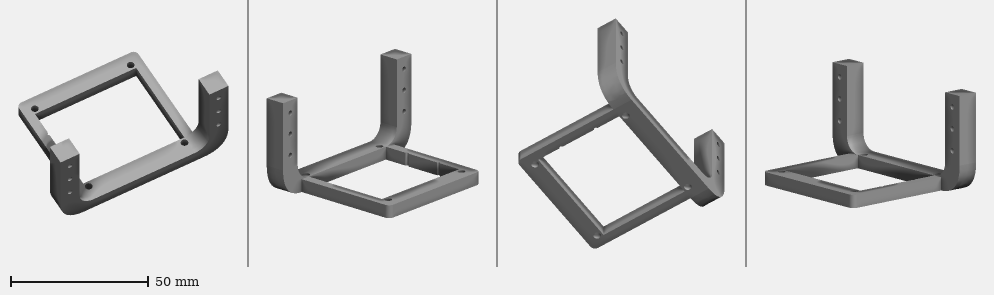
import cadquery as cq

length = 50.8
width = 70.2
height = 37.2

frame_width = 49.85
frame_thickness = 5.0
opening_width = 42.25
front_rail = 7.0
corner_radius = 2.0

bracket_depth = 8.0
leg_thickness = 8.0
outer_bend_height = 11.15
outer_bend_width = 10.2
outer_bend_fullness = 0.65
bracket_start = length - bracket_depth
leg_inner_y = width / 2 - leg_thickness
inner_bend_radius = leg_inner_y - opening_width / 2

frame_hole_diameter = 2.8
frame_hole_pitch = 40.0
first_frame_hole_x = 4.9

leg_hole_diameter = 2.0
leg_hole_pitch = 8.2
lowest_leg_hole_z = 15.95
leg_hole_y = (width - leg_thickness) / 2

notch_diameter = 1.4
notch_positions_x = (17.1, 32.4)
notch_inset = 0.15
notch_center_y = notch_inset - opening_width / 2


def make_frame():
    """Flat plate with rounded corners on its free end."""
    plate = cq.Workplane("XY").box(
        length, frame_width, frame_thickness, centered=(False, True, False)
    )
    return plate.edges("|Z and <X").fillet(corner_radius)


def make_bracket():
    """U profile in the YZ plane with rounded inner and outer bends."""
    half_width = width / 2
    bend_start_y = half_width - outer_bend_width
    lower_handle = (bend_start_y + outer_bend_fullness * outer_bend_width, 0)
    upper_handle = (half_width, (1 - outer_bend_fullness) * outer_bend_height)
    half_block = (
        cq.Workplane("YZ")
        .lineTo(bend_start_y, 0)
        .bezier(
            [(bend_start_y, 0), lower_handle, upper_handle, (half_width, outer_bend_height)]
        )
        .lineTo(half_width, height)
        .lineTo(0, height)
        .close()
        .extrude(bracket_depth)
    )
    block = half_block.union(half_block.mirror("XZ"))
    gap = (
        cq.Workplane("XY")
        .box(bracket_depth, 2 * leg_inner_y, height, centered=(False, True, False))
        .edges("|X and <Z")
        .fillet(inner_bend_radius)
        .translate((0, 0, frame_thickness))
    )
    return block.cut(gap).translate((bracket_start, 0, 0))


def make_opening():
    """Rectangular window between the rails and the bracket."""
    return (
        cq.Workplane("XY")
        .box(bracket_start - front_rail, opening_width, frame_thickness, centered=(False, True, False))
        .translate((front_rail, 0, 0))
    )


def make_frame_holes():
    """Four vertical holes on a square pattern."""
    return (
        cq.Workplane("XY")
        .center(first_frame_hole_x + frame_hole_pitch / 2, 0)
        .rarray(frame_hole_pitch, frame_hole_pitch, 2, 2)
        .circle(frame_hole_diameter / 2)
        .extrude(height)
    )


def make_leg_holes():
    """Three holes in each leg, one above the other."""
    return (
        cq.Workplane("YZ")
        .center(0, lowest_leg_hole_z + leg_hole_pitch)
        .rarray(2 * leg_hole_y, leg_hole_pitch, 2, 3)
        .circle(leg_hole_diameter / 2)
        .extrude(length)
    )


def make_notches():
    """Vertical grooves through the full frame thickness."""
    return (
        cq.Workplane("XY")
        .pushPoints([(x, notch_center_y) for x in notch_positions_x])
        .circle(notch_diameter / 2)
        .extrude(frame_thickness)
    )


result = (
    make_frame()
    .cut(make_opening())
    .union(make_bracket())
    .cut(make_frame_holes())
    .cut(make_leg_holes())
    .cut(make_notches())
)